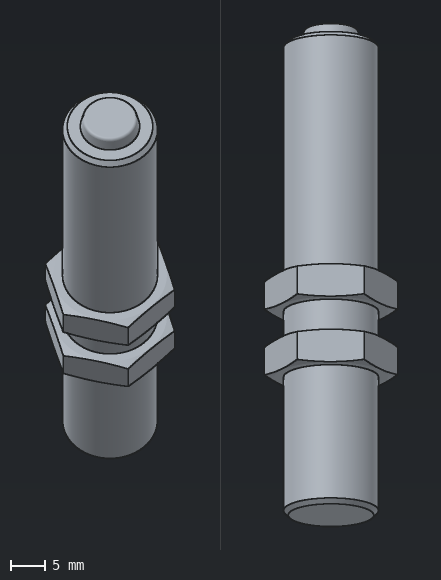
import cadquery as cq
import math

total_height = 74.0
barrel_diameter = 14.0
barrel_end_diameter = 12.6
barrel_chamfer_angle = 45.0

nose_height = 2.0
nose_base_diameter = 8.7
nose_rim_diameter = 8.1
nose_top_diameter = 7.0
nose_rim_drop = 0.4

nut_across_flats = 17.0
nut_height = 5.0
nut_face_diameter = 16.7
nut_chamfer_angle = 15.0
nut_spacing = 10.0
lower_nut_bottom = 21.0

barrel_radius = barrel_diameter / 2
barrel_end_radius = barrel_end_diameter / 2
barrel_height = total_height - nose_height
barrel_chamfer_height = (barrel_radius - barrel_end_radius) * math.tan(math.radians(barrel_chamfer_angle))
nose_rim_radius = (nose_rim_diameter - nose_top_diameter) / 2
nut_corner_radius = nut_across_flats / math.sqrt(3)
nut_face_radius = nut_face_diameter / 2
nut_chamfer_height = (nut_corner_radius - nut_face_radius) * math.tan(math.radians(nut_chamfer_angle))


def make_barrel():
    """Round barrel with both ends chamfered and a tapered, round-edged nose, as one revolved profile."""
    return (
        cq.Workplane("XZ")
        .moveTo(0, 0)
        .lineTo(barrel_end_radius, 0)
        .lineTo(barrel_radius, barrel_chamfer_height)
        .lineTo(barrel_radius, barrel_height - barrel_chamfer_height)
        .lineTo(barrel_end_radius, barrel_height)
        .lineTo(nose_base_diameter / 2, barrel_height)
        .lineTo(nose_rim_diameter / 2, total_height - nose_rim_drop)
        .radiusArc((nose_top_diameter / 2, total_height), -nose_rim_radius)
        .lineTo(0, total_height)
        .close()
        .revolve(360, (0, 0, 0), (0, 1, 0))
    )


def make_nut(bottom):
    """Hexagonal nut with corners on the Y axis, chamfered on both faces and bored to fit the barrel."""
    hexagon = (
        cq.Workplane("XY")
        .polygon(6, 2 * nut_corner_radius)
        .extrude(nut_height)
        .rotate((0, 0, 0), (0, 0, 1), 90)
    )
    chamfer_envelope = (
        cq.Workplane("XZ")
        .moveTo(0, 0)
        .lineTo(nut_face_radius, 0)
        .lineTo(nut_corner_radius, nut_chamfer_height)
        .lineTo(nut_corner_radius, nut_height - nut_chamfer_height)
        .lineTo(nut_face_radius, nut_height)
        .lineTo(0, nut_height)
        .close()
        .revolve(360, (0, 0, 0), (0, 1, 0))
    )
    bore = cq.Workplane("XY").circle(barrel_radius).extrude(nut_height)
    return hexagon.intersect(chamfer_envelope).cut(bore).translate((0, 0, bottom))


barrel = make_barrel()

nuts = []
for index in range(2):
    nuts.append(make_nut(lower_nut_bottom + index * nut_spacing))

result = cq.Compound.makeCompound([barrel.val(), *[nut.val() for nut in nuts]])